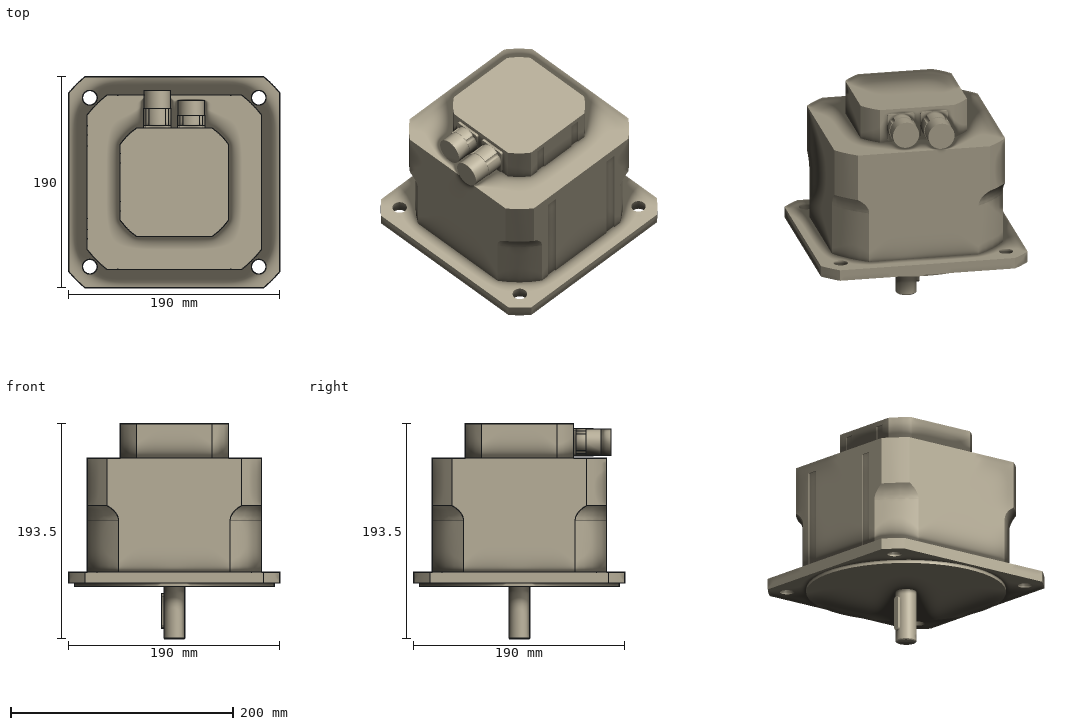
import cadquery as cq

flange_thickness = 10.0
housing_height = 102.5
cap_height = 31.0
pilot_height = 3.0
shaft_length = 50.0
housing_top = flange_thickness + housing_height
cap_top = housing_top + cap_height

flange_side = 190.0
flange_corner_diameter = 249.0
housing_side = 157.0
housing_corner_diameter = 198.3
cap_side = 97.6
cap_corner_diameter = 119.0

mounting_hole_diameter = 13.0
mounting_hole_pitch = 152.0
pilot_diameter = 180.0

relief_diameter = 186.4
relief_wall_top = flange_thickness + 46.4
relief_run_out_radius = 18.0

groove_depth = 1.0
housing_groove_width = 10.0
housing_groove_offset = 37.5
housing_groove_top_gap = 9.0
cap_groove_width = 8.5
cap_groove_offset = 21.7
cap_groove_top_gap = 4.5

shaft_diameter = 19.0
shaft_chamfer = 0.8
key_width = 5.5
key_length = 31.5
key_end_gap = 9.3
key_protrusion = 2.2

connector_offset = 15.3
connector_axis_depth = 16.65
connector_axis_z = cap_top - connector_axis_depth
connector_flange_side = 25.0
connector_flange_thickness = 2.3
connector_corner_radius = 2.0
sleeve_diameter = 25.0
nose_diameter = 24.0
screw_pitch = 19.8
screw_clearance_diameter = 5.2
power_sleeve_end = 66.4
power_end = 82.7
signal_sleeve_end = 60.2
signal_end = 73.5


def turned_square(side, corner_diameter, bottom, height):
    """Square block with its corners turned down to a diameter."""
    block = cq.Workplane("XY").workplane(offset=bottom).rect(side, side).extrude(height)
    bar = cq.Workplane("XY").workplane(offset=bottom).circle(corner_diameter / 2).extrude(height)
    return block.intersect(bar)


def corner_relief():
    """Ring outside the relief diameter whose wall runs out upwards through a concave radius."""
    inner = relief_diameter / 2
    outer = inner + relief_run_out_radius
    return (
        cq.Workplane("XZ")
        .moveTo(inner, flange_thickness)
        .lineTo(outer, flange_thickness)
        .lineTo(outer, relief_wall_top + relief_run_out_radius)
        .radiusArc((inner, relief_wall_top), -relief_run_out_radius)
        .close()
        .revolve(360, (0, 0, 0), (0, 1, 0))
    )


def side_grooves(side, width, offset, bottom, top):
    """Pair of shallow vertical grooves in the -X face."""
    return (
        cq.Workplane("XY")
        .workplane(offset=bottom)
        .pushPoints([(-side / 2, -offset), (-side / 2, offset)])
        .rect(2 * groove_depth, width)
        .extrude(top - bottom)
    )


def shaft_with_key():
    """Output shaft with a round-ended key standing out on the -X side."""
    shaft = (
        cq.Workplane("XY")
        .circle(shaft_diameter / 2)
        .extrude(-shaft_length)
        .faces("<Z")
        .chamfer(shaft_chamfer)
    )
    key = (
        cq.Workplane("YZ")
        .center(0, key_end_gap + key_length / 2 - shaft_length)
        .slot2D(key_length, key_width, 90)
        .extrude(-shaft_diameter / 2 - key_protrusion)
    )
    return shaft.union(key)


def mounting_flange():
    flange = turned_square(flange_side, flange_corner_diameter, 0, flange_thickness)
    return (
        flange.faces(">Z")
        .workplane()
        .rect(mounting_hole_pitch, mounting_hole_pitch, forConstruction=True)
        .vertices()
        .hole(mounting_hole_diameter)
    )


def housing_block():
    block = turned_square(housing_side, housing_corner_diameter, flange_thickness, housing_height)
    groove_top = housing_top - housing_groove_top_gap
    grooves = side_grooves(
        housing_side, housing_groove_width, housing_groove_offset, flange_thickness, groove_top
    )
    return block.cut(corner_relief()).cut(grooves)


def end_cap():
    block = turned_square(cap_side, cap_corner_diameter, housing_top, cap_height)
    groove_top = cap_top - cap_groove_top_gap
    grooves = side_grooves(cap_side, cap_groove_width, cap_groove_offset, housing_top, groove_top)
    return block.cut(grooves)


def motor_body():
    """Flange, pilot, housing, cap and keyed shaft as one solid."""
    pilot = cq.Workplane("XY").circle(pilot_diameter / 2).extrude(-pilot_height)
    return (
        mounting_flange()
        .union(pilot)
        .union(housing_block())
        .union(end_cap())
        .union(shaft_with_key())
    )


def connector(x, sleeve_end, end):
    """Round plug socket on a square flange, pointing along +Y from the cap."""
    base_y = cap_side / 2
    sleeve_start = base_y + connector_flange_thickness

    def section(y):
        return cq.Workplane("XZ", origin=(x, y, connector_axis_z))

    flange = (
        section(base_y)
        .rect(connector_flange_side, connector_flange_side)
        .extrude(-connector_flange_thickness)
        .edges("|Y")
        .fillet(connector_corner_radius)
    )
    sleeve = section(sleeve_start).circle(sleeve_diameter / 2).extrude(sleeve_start - sleeve_end)
    screw_clearances = (
        section(sleeve_start)
        .rect(screw_pitch, screw_pitch, forConstruction=True)
        .vertices()
        .circle(screw_clearance_diameter / 2)
        .extrude(sleeve_start - sleeve_end)
    )
    nose = section(sleeve_end).circle(nose_diameter / 2).extrude(sleeve_end - end)
    return flange.union(sleeve.cut(screw_clearances)).union(nose)


motor = motor_body()
power_connector = connector(-connector_offset, power_sleeve_end, power_end)
signal_connector = connector(connector_offset, signal_sleeve_end, signal_end)

result = cq.Compound.makeCompound([motor.val(), power_connector.val(), signal_connector.val()])